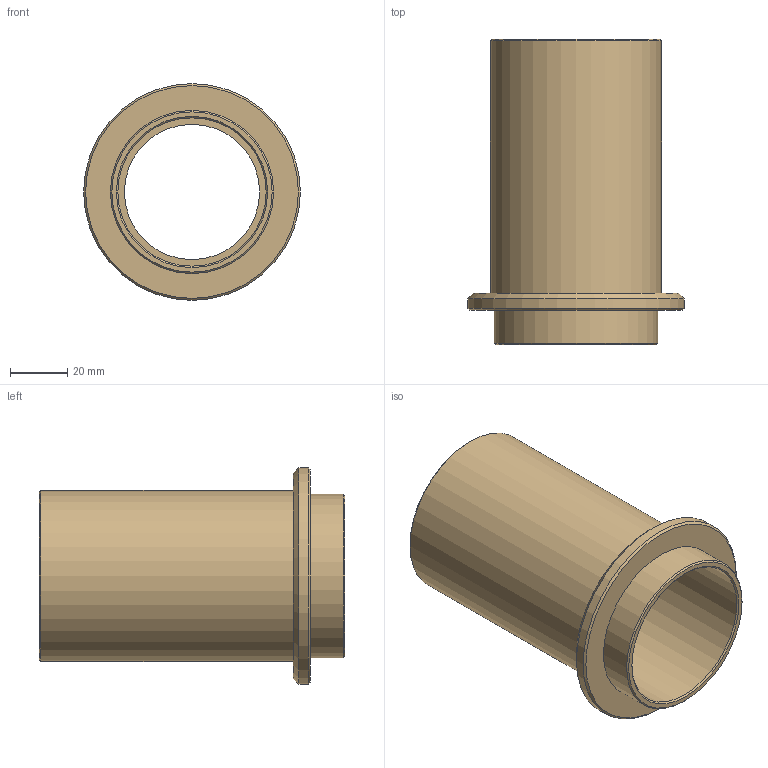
import cadquery as cq

TOTAL_LENGTH = 107.0
SPIGOT_LENGTH = 12.0
FLANGE_THICKNESS = 6.0
TUBE_LENGTH = TOTAL_LENGTH - SPIGOT_LENGTH

TUBE_DIAMETER = 60.0
FLANGE_DIAMETER = 76.0
SPIGOT_DIAMETER = 57.2

MAIN_BORE_DIAMETER = 52.0
END_BORE_DIAMETER = 47.4
END_LIP_LENGTH = 12.0

END_CHAMFER = 0.5
FLANGE_FRONT_CHAMFER = 0.7
FLANGE_BACK_CHAMFER = 2.0


def cylinder(diameter, start, length):
    """Solid cylinder along +Y, starting at Y = start."""
    plane = cq.Plane(origin=(0, start, 0), xDir=(1, 0, 0), normal=(0, 1, 0))
    return cq.Workplane(plane).circle(diameter / 2).extrude(length)


def make_flange():
    """Collar with a small chamfer towards the spigot and a large one towards the tube."""
    flange = cylinder(FLANGE_DIAMETER, SPIGOT_LENGTH, FLANGE_THICKNESS)
    flange = flange.faces("<Y").edges().chamfer(FLANGE_FRONT_CHAMFER)
    return flange.faces(">Y").edges().chamfer(FLANGE_BACK_CHAMFER)


def make_tube():
    """Long tube body with its far outer edge broken."""
    tube = cylinder(TUBE_DIAMETER, SPIGOT_LENGTH, TUBE_LENGTH)
    return tube.faces(">Y").edges().chamfer(END_CHAMFER)


def make_bore():
    """Main bore from the spigot end, narrowing to a smaller bore inside the far end."""
    main_bore = cylinder(MAIN_BORE_DIAMETER, 0, TOTAL_LENGTH - END_LIP_LENGTH)
    end_bore = cylinder(END_BORE_DIAMETER, 0, TOTAL_LENGTH)
    return main_bore.union(end_bore)


spigot = cylinder(SPIGOT_DIAMETER, 0, SPIGOT_LENGTH)
sleeve = spigot.union(make_flange()).union(make_tube()).cut(make_bore())

result = sleeve.faces("<Y").edges().chamfer(END_CHAMFER)